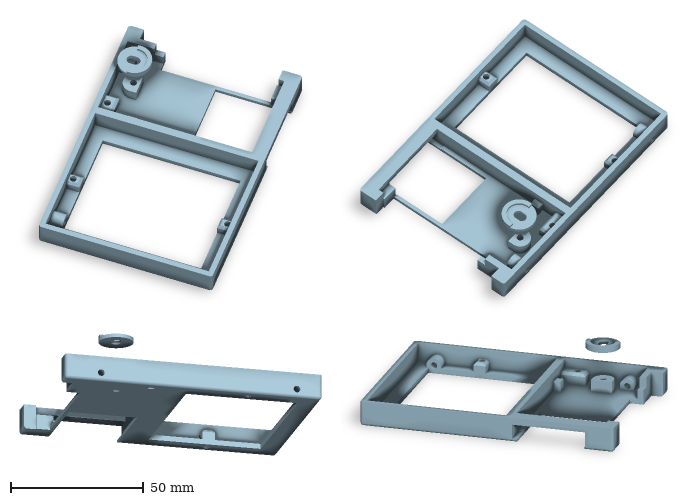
import cadquery as cq
FRAME_WIDTH = 69.8
FRAME_LENGTH = 100.2
FRAME_HEIGHT = 9.6
EDGE_RADIUS = 1.1
WALL = 2.1

TRAY_BACK = 57.1
TRAY_FLOOR_TOP = 2.0
TRAY_WINDOW_LEFT = 7.2
TRAY_WINDOW_FRONT = 7.6
TRAY_WINDOW_BACK = 51.3

BAY_FRONT = 60.1
BAY_FLOOR_TOP = 1.5
BAY_RIGHT = 64.1
BAY_FLOOR_BACK = 90.2
STUB_FRONT = 95.6
LEFT_STUB_RIGHT = 6.1
RIGHT_STUB_LEFT = 61.8

SIDE_WINDOW_LEFT = 39.0
SIDE_WINDOW_FRONT = 61.9
SIDE_WINDOW_BACK = 88.7
SIDE_WINDOW_TOP = 6.9
FLOOR_STEP_LEFT = 60.7
FLOOR_STEP_TOP = 1.0

STOP_TOP = 5.7
RIGHT_STOP_LEFT = 61.2
RIGHT_STOP_FRONT = 89.0
TAB_FRONT = 93.0
TAB_STEP = 12.8
TAB_END_FRONT = 93.2
TAB_RIGHT = 16.4
BLOCK_LEFT = 13.1
BLOCK_WIDTH = 3.7
BLOCK_DEPTH = 2.8

HOLE_DIAMETER = 2.6
POST_TOP = 6.0
POST_WIDTH = TRAY_WINDOW_LEFT - WALL
TRAY_POST_LENGTH = 4.9
POST_CHAMFER = 1.0
POST_HOLE_INSET = 3.9
TRAY_POST_Y = 27.9
BAY_POST_BACK = 69.7
BAY_POST_HOLE_Y = 65.7

CROSS_BOSS_DIAMETER = 5.8
CROSS_BOSS_Z = 3.1
FRONT_CROSS_BOSS_Y = 9.8
REAR_CROSS_BOSS_Y = 86.3

PIVOT_X = 10.0
PIVOT_Y = 77.8
PIVOT_RADIUS = 4.1
PIVOT_FLAT = 2.5
PIVOT_TOP = 6.2

DIAL_X = 10.5
DIAL_DIAMETER = 13.2
DIAL_BOTTOM = 19.2
DIAL_TOP = 21.6
DIAL_PLATE = 1.4
RIM_INNER_DIAMETER = 9.6
RIM_LEFT = 9.6
SLOT_LENGTH = 5.3
SLOT_WIDTH = 3.6


def block(left, right, front, back, bottom, top):
    """Box between the given limits."""
    size = (right - left, back - front, top - bottom)
    return cq.Workplane("XY").box(*size, centered=False).translate((left, front, bottom))


def cylinder(x, y, diameter, bottom, top):
    """Upright cylinder."""
    return cq.Workplane("XY", origin=(x, y, bottom)).circle(diameter / 2).extrude(top - bottom)


def cross_cylinder(y, diameter, left, right):
    """Cylinder along X between the given limits."""
    return cq.Workplane("YZ", origin=(left, y, CROSS_BOSS_Z)).circle(diameter / 2).extrude(right - left)


def post(front, back, chamfered_edges):
    """Screw post on the left wall, standing on the underside plane."""
    body = block(WALL, WALL + POST_WIDTH, front, back, 0, POST_TOP)
    return body.faces(">Z").edges(chamfered_edges).chamfer(POST_CHAMFER)


def mirrored(body):
    """Copy of a body on the opposite side of the frame's middle."""
    return body.mirror("YZ", (FRAME_WIDTH / 2, 0, 0))


def frame_shell():
    """Rounded block hollowed into the front tray and the rear bay."""
    shell = block(0, FRAME_WIDTH, 0, FRAME_LENGTH, 0, FRAME_HEIGHT)
    shell = shell.edges("|Z").fillet(EDGE_RADIUS)
    shell = shell.faces("<Z").edges("not(>Y)").fillet(EDGE_RADIUS)
    tray_right = FRAME_WIDTH - WALL
    window_right = FRAME_WIDTH - TRAY_WINDOW_LEFT
    pockets = [
        block(WALL, tray_right, WALL, TRAY_BACK, TRAY_FLOOR_TOP, FRAME_HEIGHT),
        block(TRAY_WINDOW_LEFT, window_right, TRAY_WINDOW_FRONT, TRAY_WINDOW_BACK, 0, FRAME_HEIGHT),
        block(WALL, BAY_RIGHT, BAY_FRONT, STUB_FRONT, BAY_FLOOR_TOP, FRAME_HEIGHT),
        block(TAB_RIGHT, BAY_RIGHT, BAY_FLOOR_BACK, STUB_FRONT, 0, FRAME_HEIGHT),
        block(LEFT_STUB_RIGHT, RIGHT_STUB_LEFT, STUB_FRONT, FRAME_LENGTH, 0, FRAME_HEIGHT),
    ]
    for pocket in pockets:
        shell = shell.cut(pocket)
    return shell


def side_window():
    """Opening through the bay floor and out under the top of the right wall."""
    opening = block(SIDE_WINDOW_LEFT, FRAME_WIDTH, SIDE_WINDOW_FRONT, SIDE_WINDOW_BACK, 0, SIDE_WINDOW_TOP)
    step = block(FLOOR_STEP_LEFT, FRAME_WIDTH, BAY_FRONT, RIGHT_STOP_FRONT, FLOOR_STEP_TOP, SIDE_WINDOW_TOP)
    step_end = block(FLOOR_STEP_LEFT, BAY_RIGHT, RIGHT_STOP_FRONT, BAY_FLOOR_BACK, FLOOR_STEP_TOP, SIDE_WINDOW_TOP)
    return opening.union(step).union(step_end)


def bay_stops():
    """Stepped tab at the left, stop at the right and block on the cross wall."""
    tab = block(WALL, TAB_STEP, TAB_FRONT, STUB_FRONT, 0, FRAME_HEIGHT)
    tab_end = block(TAB_STEP, TAB_RIGHT, TAB_END_FRONT, STUB_FRONT, 0, STOP_TOP)
    right_stop = block(RIGHT_STOP_LEFT, BAY_RIGHT, RIGHT_STOP_FRONT, STUB_FRONT, 0, STOP_TOP)
    wall_block = block(BLOCK_LEFT, BLOCK_LEFT + BLOCK_WIDTH, BAY_FRONT, BAY_FRONT + BLOCK_DEPTH, 0, STOP_TOP)
    return tab.union(tab_end).union(right_stop).union(wall_block)


def pivot_boss():
    """Boss rounded on the left and flat on the right."""
    return (
        cq.Workplane("XY", origin=(PIVOT_X, PIVOT_Y, 0))
        .moveTo(PIVOT_FLAT, PIVOT_RADIUS)
        .lineTo(0, PIVOT_RADIUS)
        .threePointArc((-PIVOT_RADIUS, 0), (0, -PIVOT_RADIUS))
        .lineTo(PIVOT_FLAT, -PIVOT_RADIUS)
        .close()
        .extrude(PIVOT_TOP)
    )


def make_frame():
    """Frame with its stops, posts and bosses."""
    frame = frame_shell().cut(side_window()).union(bay_stops()).union(pivot_boss())

    tray_post = post(TRAY_POST_Y - TRAY_POST_LENGTH / 2, TRAY_POST_Y + TRAY_POST_LENGTH / 2, ">X or >Y or <Y")
    bay_post = post(BAY_FRONT, BAY_POST_BACK, ">X or >Y")
    frame = frame.union(tray_post).union(mirrored(tray_post)).union(bay_post)

    upright_holes = [
        (POST_HOLE_INSET, TRAY_POST_Y),
        (FRAME_WIDTH - POST_HOLE_INSET, TRAY_POST_Y),
        (POST_HOLE_INSET, BAY_POST_HOLE_Y),
        (PIVOT_X, PIVOT_Y),
    ]
    for x, y in upright_holes:
        frame = frame.cut(cylinder(x, y, HOLE_DIAMETER, 0, FRAME_HEIGHT))

    for y in (FRONT_CROSS_BOSS_Y, REAR_CROSS_BOSS_Y):
        frame = frame.union(cross_cylinder(y, CROSS_BOSS_DIAMETER, WALL, TRAY_WINDOW_LEFT))
        frame = frame.cut(cross_cylinder(y, HOLE_DIAMETER, 0, TRAY_WINDOW_LEFT))
    return frame


def make_dial():
    """Slotted disc with a raised rim along its right side."""
    dial = cylinder(DIAL_X, PIVOT_Y, DIAL_DIAMETER, DIAL_BOTTOM, DIAL_TOP)
    plate_top = DIAL_BOTTOM + DIAL_PLATE
    radius = DIAL_DIAMETER / 2
    left_half = block(DIAL_X - radius, RIM_LEFT, PIVOT_Y - radius, PIVOT_Y + radius, plate_top, DIAL_TOP)
    slot = (
        cq.Workplane("XY", origin=(PIVOT_X, PIVOT_Y, DIAL_BOTTOM))
        .slot2D(SLOT_LENGTH, SLOT_WIDTH)
        .extrude(DIAL_PLATE)
    )
    dial = dial.cut(cylinder(DIAL_X, PIVOT_Y, RIM_INNER_DIAMETER, plate_top, DIAL_TOP))
    return dial.cut(left_half).cut(slot)


frame = make_frame()
dial = make_dial()
result = cq.Compound.makeCompound([frame.solids().val(), dial.solids().val()])